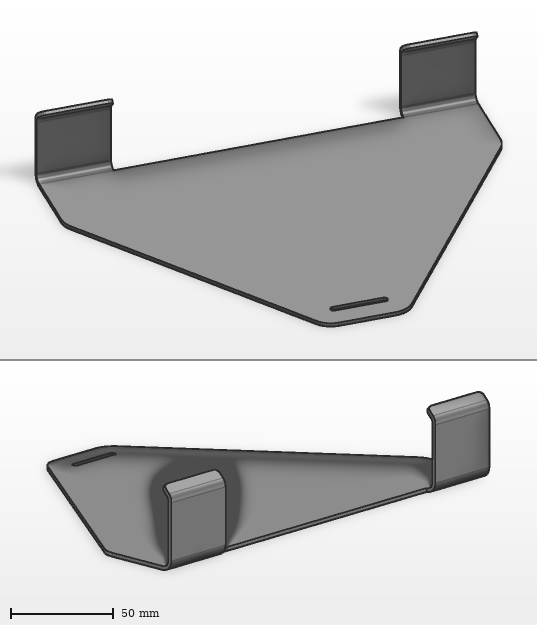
import cadquery as cq
import math

length = 170.7
width = 225.5
height = 43.3

thickness = 2.0
bend_radius = 5.9
inner_radius = bend_radius - thickness

shoulder_x = 43.5
nose_half_width = 21.0
plate_corner_radius = 12.5

slot_x = 158.0
slot_length = 29.3
slot_width = 3.4

tab_width = 38.3
wall_top = 35.5
lip_angle = math.radians(45)
lip_corner_radius = 3.0
lip_length = (height - wall_top - bend_radius * math.sin(lip_angle)) / math.cos(lip_angle)


def make_plate():
    """Flat tapered plate with rounded corners and a strap slot."""
    half_width = width / 2
    outline = [
        (bend_radius, -half_width),
        (shoulder_x, -half_width),
        (length, -nose_half_width),
        (length, nose_half_width),
        (shoulder_x, half_width),
        (bend_radius, half_width),
    ]
    plate = cq.Workplane("XY").polyline(outline).close().extrude(thickness)
    plate = plate.edges("|Z and (not <X)").fillet(plate_corner_radius)
    slot = cq.Workplane("XY").center(slot_x, 0).slot2D(slot_length, slot_width, 90).extrude(thickness)
    return plate.cut(slot)


def upper_bend_point(radius, angle):
    """Point on the upper bend, with the angle measured from the upright wall."""
    return (bend_radius - radius * math.cos(angle), wall_top + radius * math.sin(angle))


def along_lip(point):
    """Shift a point from the end of the upper bend to the tip of the lip."""
    return (point[0] + lip_length * math.sin(lip_angle), point[1] + lip_length * math.cos(lip_angle))


def lower_bend_middle(radius):
    """Middle point of the quarter-circle bend between plate and wall."""
    offset = radius * math.sqrt(0.5)
    return (bend_radius - offset, bend_radius - offset)


def make_tab(y_min):
    """Bent tab spanning y_min to y_min + tab_width, with rounded lip corners."""
    outer_end = upper_bend_point(bend_radius, lip_angle)
    inner_end = upper_bend_point(inner_radius, lip_angle)
    tab = (
        cq.Workplane("XZ", origin=(0, y_min, 0))
        .moveTo(bend_radius, 0)
        .threePointArc(lower_bend_middle(bend_radius), (0, bend_radius))
        .lineTo(0, wall_top)
        .threePointArc(upper_bend_point(bend_radius, lip_angle / 2), outer_end)
        .lineTo(*along_lip(outer_end))
        .lineTo(*along_lip(inner_end))
        .lineTo(*inner_end)
        .threePointArc(upper_bend_point(inner_radius, lip_angle / 2), (thickness, wall_top))
        .lineTo(thickness, bend_radius)
        .threePointArc(lower_bend_middle(inner_radius), (bend_radius, thickness))
        .close()
        .extrude(-tab_width)
    )
    lip_tip = tab.faces(cq.selectors.DirectionMinMaxSelector(cq.Vector(1, 0, 1), True))
    tip_direction = cq.Vector(math.cos(lip_angle), 0, -math.sin(lip_angle))
    return lip_tip.edges(cq.selectors.ParallelDirSelector(tip_direction)).fillet(lip_corner_radius)


result = make_plate()
for tab_y_min in (-width / 2, width / 2 - tab_width):
    result = result.union(make_tab(tab_y_min))